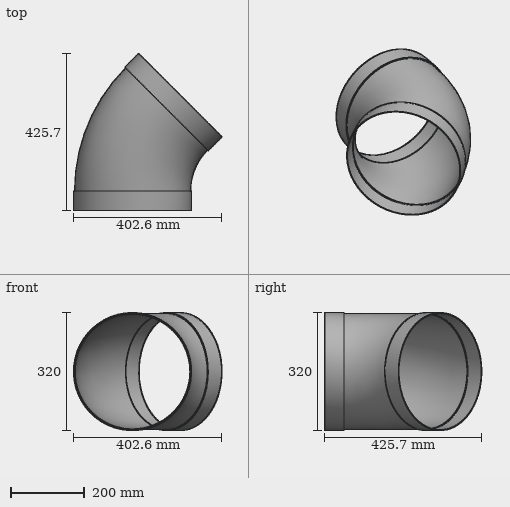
import cadquery as cq
import math

bend_angle = 45.0
bend_radius = 314.5
collar_length = 52.8
collar_outer_diameter = 320.0
collar_inner_diameter = 314.5
elbow_outer_diameter = 315.0
elbow_inner_diameter = 310.0

angle = math.radians(bend_angle)
bend_end = (
    bend_radius * (1 - math.cos(angle)),
    bend_radius * math.sin(angle),
    0,
)
end_direction = (math.sin(angle), math.cos(angle), 0)


def elbow():
    """Tube ring revolved about the vertical axis through the bend centre."""
    return (
        cq.Workplane("XZ")
        .circle(elbow_outer_diameter / 2)
        .circle(elbow_inner_diameter / 2)
        .revolve(bend_angle, (bend_radius, 4.3), (bend_radius, 0))
    )


def collar(start, direction):
    """Straight socket leading away from one end of the elbow."""
    plane = cq.Plane(origin=start, xDir=(0, 0, 1), normal=direction)
    return (
        cq.Workplane(plane)
        .circle(collar_outer_diameter / 2)
        .circle(collar_inner_diameter / 2)
        .extrude(collar_length)
    )


inlet_collar = collar((0, 0, 0), (0, -1, 0))
outlet_collar = collar(bend_end, end_direction)
result = elbow().union(inlet_collar).union(outlet_collar)